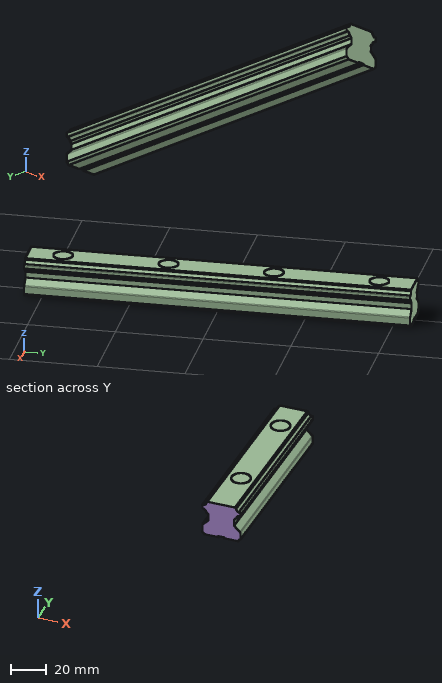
import cadquery as cq

LENGTH = 220.0
HEIGHT = 22.0
WIDTH = 23.0
HALF_WIDTH = WIDTH / 2
EDGE_TOLERANCE = 0.02

TOP_HALF_WIDTH = 8.4
BEVEL_HALF_WIDTH = 9.0
BEVEL_Z = 21.3
SHOULDER_HALF_WIDTH = 10.5
SHOULDER_Z = 19.4
SHOULDER_SAG = 0.29
CORNER_RADIUS = 0.55

TRACK_TOP_Z = 16.7
TRACK_TOP_HALF_WIDTH = 10.8
TRACK_BOTTOM_Z = 14.7
TRACK_BOTTOM_HALF_WIDTH = 9.0
TRACK_SAG = 0.2
WAIST_HALF_WIDTH = 7.7
WAIST_UPPER_Z = 13.5
WAIST_LOWER_Z = 10.0
BASE_UPPER_Z = 6.4
BASE_CORNER_RADIUS = 0.9

FOOT_CHAMFER = 1.5
RELIEF_HALF_WIDTH = 1.8
RELIEF_DEPTH = 0.7

CAP_DIAMETER = 11.0
CAP_PITCH = 60.0
CAP_COUNT = 4
CAP_RECESS = 0.1


def half_section():
    """Right half of the rail section, closed along the centre plane."""
    shoulder_mid = (
        (BEVEL_HALF_WIDTH + SHOULDER_HALF_WIDTH) / 2 - SHOULDER_SAG,
        (BEVEL_Z + SHOULDER_Z) / 2 - SHOULDER_SAG,
    )
    track_mid = (
        (TRACK_TOP_HALF_WIDTH + TRACK_BOTTOM_HALF_WIDTH) / 2 - TRACK_SAG,
        (TRACK_TOP_Z + TRACK_BOTTOM_Z) / 2 + TRACK_SAG,
    )
    return (
        cq.Workplane("XZ")
        .moveTo(0, HEIGHT)
        .lineTo(TOP_HALF_WIDTH, HEIGHT)
        .lineTo(BEVEL_HALF_WIDTH, BEVEL_Z)
        .threePointArc(shoulder_mid, (SHOULDER_HALF_WIDTH, SHOULDER_Z))
        .lineTo(HALF_WIDTH, SHOULDER_Z)
        .lineTo(HALF_WIDTH, TRACK_TOP_Z)
        .lineTo(TRACK_TOP_HALF_WIDTH, TRACK_TOP_Z)
        .threePointArc(track_mid, (TRACK_BOTTOM_HALF_WIDTH, TRACK_BOTTOM_Z))
        .lineTo(WAIST_HALF_WIDTH, WAIST_UPPER_Z)
        .lineTo(WAIST_HALF_WIDTH, WAIST_LOWER_Z)
        .lineTo(HALF_WIDTH, BASE_UPPER_Z)
        .lineTo(HALF_WIDTH, FOOT_CHAMFER)
        .lineTo(HALF_WIDTH - FOOT_CHAMFER, 0)
        .lineTo(RELIEF_HALF_WIDTH, 0)
        .lineTo(RELIEF_HALF_WIDTH, RELIEF_DEPTH)
        .lineTo(0, RELIEF_DEPTH)
        .close()
    )


def side_edges(body, low_z, high_z):
    """Lengthwise edges on the outer side between two heights."""
    box = cq.selectors.BoxSelector(
        (HALF_WIDTH - EDGE_TOLERANCE, -LENGTH, low_z),
        (HALF_WIDTH + EDGE_TOLERANCE, LENGTH, high_z),
    )
    return body.edges("|Y").edges(box)


def rail():
    """Solid rail with rounded ledge, head and base corners."""
    half = half_section().extrude(LENGTH / 2, both=True)
    half = side_edges(half, TRACK_TOP_Z - CORNER_RADIUS, HEIGHT).fillet(CORNER_RADIUS)
    half = side_edges(half, 2 * FOOT_CHAMFER, WAIST_LOWER_Z).fillet(BASE_CORNER_RADIUS)
    return half.union(half.mirror("YZ"), clean=True)


def cap_recesses():
    """Shallow discs that set the hole caps below the top face."""
    return (
        cq.Workplane("XY", origin=(0, 0, HEIGHT - CAP_RECESS))
        .rarray(2.2, CAP_PITCH, 1, CAP_COUNT)
        .circle(CAP_DIAMETER / 2)
        .extrude(2 * CAP_RECESS)
    )


result = rail().cut(cap_recesses())